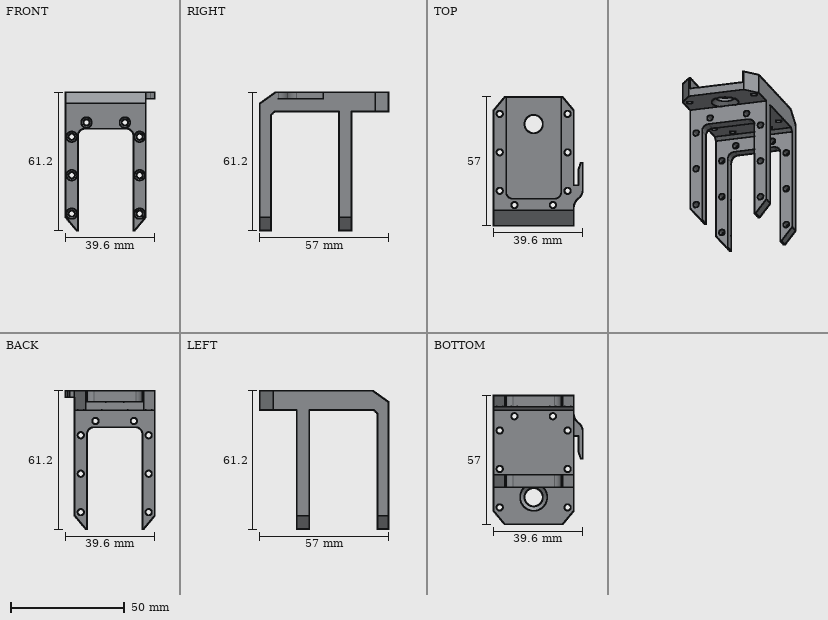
import cadquery as cq
import math


body_width = 35.6
body_length = 57.0
body_height = 61.2
plate_thickness = 8.6
front_thickness = 5.0
rear_leg_front = 35.0
rear_leg_thickness = 5.65
inner_corner_bevel = 1.5

front_bevel_length = 7.0
front_bevel_height = 5.0
end_bevel_width = 5.0
end_bevel_length = 6.0

rail_width = 5.6
opening_width = body_width - 2 * rail_width
opening_radius = 3.0
pocket_depth = 5.0
pocket_front = 12.0
arch_top = -16.2

port_diameter = 8.0
port_y = 45.0
port_sink_depth = 2.0

screw_diameter = 2.7
screw_head_diameter = 4.7
screw_pitch = 17.0
screws_per_side = 3
screw_column_x = (body_width - rail_width) / 2
top_row_y = 9.2
top_column_start = 15.5
front_row_z = -13.4
front_column_start = -19.7

hook_reach = 4.0
hook_height = 3.0
hook_slot_width = 2.0
hook_slot_floor = 18.0
hook_tip_y = 28.0
hook_tip_width = 1.0
hook_taper_length = 3.0
hook_root_y = 8.1
hook_curve_radius = 5.0

half_width = body_width / 2


def make_side_profile():
    """Plate with its front and rear legs, extruded across the full width."""
    rear_leg_back = rear_leg_front + rear_leg_thickness
    profile = (
        cq.Workplane("YZ")
        .moveTo(front_bevel_length, 0)
        .lineTo(body_length, 0)
        .lineTo(body_length, -plate_thickness)
        .lineTo(rear_leg_back, -plate_thickness)
        .lineTo(rear_leg_back, -body_height)
        .lineTo(rear_leg_front, -body_height)
        .lineTo(rear_leg_front, -plate_thickness)
        .lineTo(front_thickness + inner_corner_bevel, -plate_thickness)
        .lineTo(front_thickness, -plate_thickness - inner_corner_bevel)
        .lineTo(front_thickness, -body_height)
        .lineTo(0, -body_height)
        .lineTo(0, -front_bevel_height)
        .close()
    )
    return profile.extrude(half_width, both=True)


def bevelled_outline(plane, far_end):
    """Full-width outline running from the plane's origin to a bevelled far end."""
    direction = math.copysign(1, far_end)
    bevel_start = far_end - direction * end_bevel_length
    end_half_width = half_width - end_bevel_width
    return (
        cq.Workplane(plane)
        .moveTo(-half_width, 0)
        .lineTo(-half_width, bevel_start)
        .lineTo(-end_half_width, far_end)
        .lineTo(end_half_width, far_end)
        .lineTo(half_width, bevel_start)
        .lineTo(half_width, 0)
        .close()
    )


def make_body():
    plan_limit = bevelled_outline("XY", body_length).extrude(-body_height)
    leg_limit = bevelled_outline("XZ", -body_height).extrude(-body_length)
    return make_side_profile().intersect(plan_limit).intersect(leg_limit)


def make_pocket():
    """Top pocket, open at the rear and rounded at its two front corners."""
    pocket_length = body_length - pocket_front
    return (
        cq.Workplane("XY")
        .center(0, pocket_front + pocket_length / 2)
        .rect(opening_width, pocket_length)
        .extrude(-pocket_depth)
        .edges("|Z and <Y")
        .fillet(opening_radius)
    )


def make_arch():
    """Opening between the legs, cut through the front and rear walls."""
    arch_height = body_height + arch_top
    return (
        cq.Workplane("XZ")
        .center(0, arch_top - arch_height / 2)
        .rect(opening_width, arch_height)
        .extrude(-body_length)
        .edges("|Y and >Z")
        .fillet(opening_radius)
    )


def make_port():
    port_radius = port_diameter / 2
    bore = cq.Workplane("XY").center(0, port_y).circle(port_radius).extrude(-plate_thickness)
    sink = (
        cq.Workplane("XY", origin=(0, port_y, -plate_thickness))
        .circle(port_radius + port_sink_depth)
        .workplane(offset=port_sink_depth)
        .circle(port_radius)
        .loft()
    )
    return bore.union(sink)


def screw_points(row, column_start, step):
    """Two screws across the row, then a column of screws down each side."""
    points = [(side * screw_pitch / 2, row) for side in (-1, 1)]
    for index in range(screws_per_side):
        for side in (-1, 1):
            points.append((side * screw_column_x, column_start + index * step))
    return points


def make_top_screw_holes():
    points = screw_points(top_row_y, top_column_start, screw_pitch)
    return (
        cq.Workplane("XY")
        .pushPoints(points)
        .circle(screw_diameter / 2)
        .extrude(-plate_thickness)
    )


def make_front_screw_holes():
    """Holes through the front and rear walls, countersunk at the front face."""
    points = screw_points(front_row_z, front_column_start, -screw_pitch)
    bore_radius = screw_diameter / 2
    head_radius = screw_head_diameter / 2
    sink_depth = head_radius - bore_radius
    bores = cq.Workplane("XZ").pushPoints(points).circle(bore_radius).extrude(-body_length)
    for x, z in points:
        sink = cq.Solid.makeCone(
            head_radius, bore_radius, sink_depth, cq.Vector(x, 0, z), cq.Vector(0, 1, 0)
        )
        bores = bores.union(cq.Workplane(sink))
    return bores


def make_hook():
    """Hook whose root leaves the side face in an S-curve of two equal arcs, then runs along Y."""
    curve_run = hook_reach / 2
    curve_rise = math.sqrt(hook_curve_radius**2 - (hook_curve_radius - curve_run) ** 2)

    outer_x = half_width + hook_reach
    slot_x = half_width + hook_slot_width
    inside_x = half_width - rail_width / 2

    return (
        cq.Workplane("XY")
        .moveTo(inside_x, hook_root_y)
        .lineTo(half_width, hook_root_y)
        .radiusArc((half_width + curve_run, hook_root_y + curve_rise), hook_curve_radius)
        .radiusArc((outer_x, hook_root_y + 2 * curve_rise), -hook_curve_radius)
        .lineTo(outer_x, hook_tip_y)
        .lineTo(outer_x - hook_tip_width, hook_tip_y)
        .lineTo(slot_x, hook_tip_y - hook_taper_length)
        .lineTo(slot_x, hook_slot_floor)
        .lineTo(inside_x, hook_slot_floor)
        .close()
        .extrude(-hook_height)
    )


result = (
    make_body()
    .union(make_hook())
    .cut(make_pocket())
    .cut(make_arch())
    .cut(make_port())
    .cut(make_top_screw_holes())
    .cut(make_front_screw_holes())
)